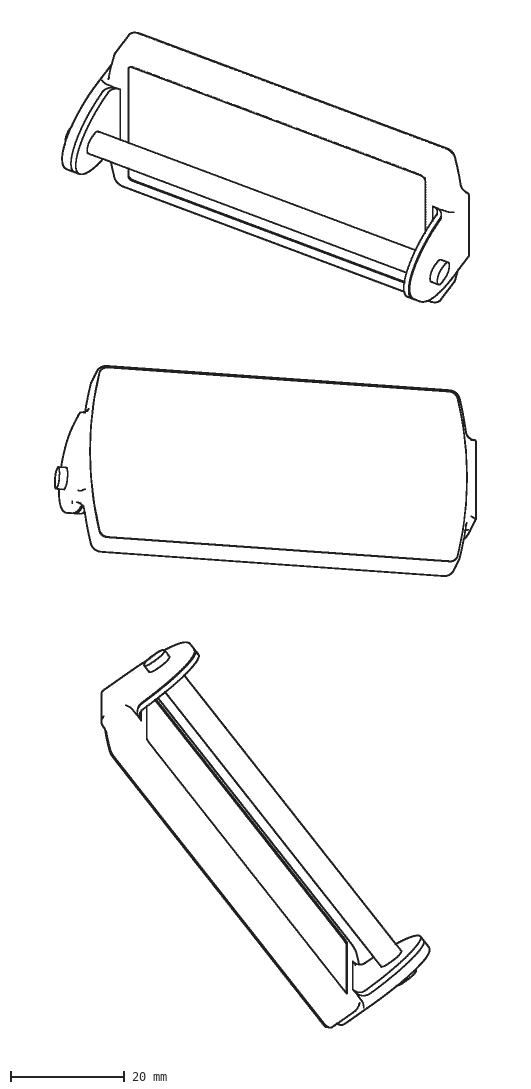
import cadquery as cq

rod_length = 74.25
overall_depth = 20.1
plate_height = 33.3

pad_raise = 0.2
front_depth = 6.3
plate_half_width = 34.3
plate_corner_half_width = 32.2
plate_corner_radius = 2.0
edge_round = 0.5

recess_width = 59.25
recess_height = 28.1
recess_depth = 0.2
recess_corner_radius = 0.9

ear_span = 71.4
ear_thickness = 2.0
ear_height = 15.0
ear_tip_start = 7.0
ear_root_radius = 2.0
ear_back_radius = 1.3
ear_side_blend = 1.5

liner_thickness = 1.0
liner_root_radius = 1.55

rod_width = 4.5
rod_height = 3.5
rod_depth = 13.6

ear_half_span = ear_span / 2
ear_inner_x = ear_half_span - ear_thickness
liner_inner_x = ear_inner_x - liner_thickness
plate_thickness = front_depth - pad_raise
plate_middle_y = -pad_raise - plate_thickness / 2

corner_search_margin = 0.1


def make_bowed_block(thickness, back_y):
    """Block with straight top and bottom, bowed ends and rounded corners."""
    half_height = plate_height / 2
    return (
        cq.Workplane("XZ", origin=(0, back_y, 0))
        .moveTo(-plate_corner_half_width, half_height)
        .lineTo(plate_corner_half_width, half_height)
        .threePointArc((plate_half_width, 0), (plate_corner_half_width, -half_height))
        .lineTo(-plate_corner_half_width, -half_height)
        .threePointArc((-plate_half_width, 0), (-plate_corner_half_width, half_height))
        .close()
        .extrude(thickness)
        .edges("|Y")
        .fillet(plate_corner_radius)
    )


def make_ear_base():
    """Block across the plate whose ends carry the ears."""
    return (
        cq.Workplane("XY")
        .box(ear_span, plate_thickness, ear_height)
        .edges("|Y")
        .fillet(edge_round)
        .translate((0, plate_middle_y, 0))
    )


def blend_ear_base(plate):
    """Round the four inner corners where the ear base leaves the bowed ends."""
    half_height = ear_height / 2
    for side in (-1, 1):
        for level in (-half_height, half_height):
            low = (side * plate_corner_half_width, -front_depth, level - corner_search_margin)
            high = (side * plate_half_width, 0, level + corner_search_margin)
            corner = cq.selectors.BoxSelector(low, high)
            plate = plate.edges(corner).fillet(ear_side_blend)
    return plate


def make_back_envelope():
    """Limits the plate at the rounded back corners of the ear base."""
    return (
        cq.Workplane("XY")
        .box(ear_span, plate_thickness, plate_height)
        .edges("|Z and >Y")
        .fillet(ear_back_radius)
        .translate((0, plate_middle_y, 0))
    )


def make_plate():
    """Bowed block and ear base with rounded front, back and blended corners."""
    plate = make_bowed_block(plate_thickness, -pad_raise).union(make_ear_base())
    plate = blend_ear_base(plate)
    plate = plate.faces("<Y or >Y").edges().fillet(edge_round)
    return plate.intersect(make_back_envelope())


def make_tongue(half_length):
    """Elliptical-ended tongue across the whole part, rooted inside the plate."""
    half_height = ear_height / 2
    return (
        cq.Workplane("YZ")
        .moveTo(plate_middle_y, half_height)
        .lineTo(-ear_tip_start, half_height)
        .ellipseArc(overall_depth - ear_tip_start, half_height, 90, 270, startAtCurrent=True, sense=1)
        .lineTo(plate_middle_y, -half_height)
        .close()
        .extrude(half_length, both=True)
    )


def make_throat(half_width, root_radius):
    """Space between the ears in front of the plate, with rounded roots."""
    length = 2 * overall_depth
    return (
        cq.Workplane("XY")
        .box(2 * half_width, length, plate_height)
        .translate((0, -front_depth - length / 2, 0))
        .edges("|Z and >Y")
        .fillet(root_radius)
    )


def make_ears():
    """Both ears as one U, with all rims rounded."""
    ears = make_tongue(ear_half_span).cut(make_throat(ear_inner_x, ear_root_radius))
    return ears.edges("not (|X or |Z)").fillet(edge_round)


def make_back_pad():
    """Raised back face that follows the plate outline inside its rounded edge."""
    blank = make_bowed_block(pad_raise, 0)
    outline = blank.faces("<Y").wires().toPending().workplane().offset2D(-edge_round)
    return outline.extrude(-pad_raise, combine=False)


def make_recess():
    """Shallow rectangle sunk into the plate front."""
    return (
        cq.Workplane("XY")
        .box(recess_width, 2 * recess_depth, recess_height)
        .edges("|Y")
        .fillet(recess_corner_radius)
        .translate((0, -front_depth, 0))
    )


def make_rod():
    """Obround bar that passes through liners and ears; also the cutter for its holes."""
    return (
        cq.Workplane("YZ", origin=(0, -rod_depth, 0))
        .slot2D(rod_width, rod_height)
        .extrude(rod_length / 2, both=True)
    )


def make_housing():
    """Plate with ears, raised back, front recess and rod holes."""
    body = make_plate().union(make_ears()).union(make_back_pad())
    return body.cut(make_recess()).cut(make_rod())


def make_liner(side):
    """Plate lining the inner face of one ear (side -1 or +1) down to the plate front."""
    pair = make_tongue(ear_inner_x).intersect(make_throat(ear_inner_x, ear_root_radius))
    pair = pair.cut(make_throat(liner_inner_x, liner_root_radius)).cut(make_rod())
    return pair.solids(">X" if side > 0 else "<X")


housing = make_housing()
liners = [make_liner(side) for side in (-1, 1)]
rod = make_rod()

result = cq.Compound.makeCompound([housing.val(), *[liner.val() for liner in liners], rod.val()])